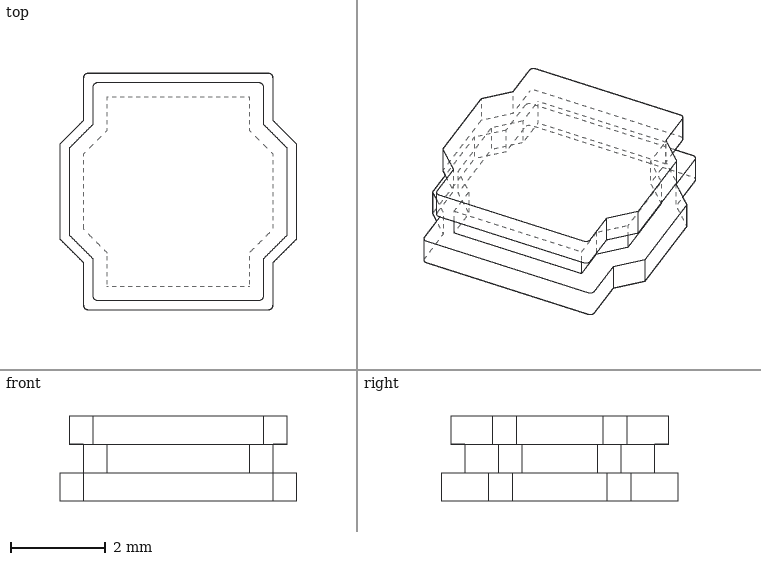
import cadquery as cq
import math

overall_width = 5.0
layer_height = 0.6
shoulder_depth = 0.5
lobe_half_length = 1.0
top_inset = 0.2
core_inset = 0.5
corner_radius = 0.1


def layer(level, inset, radius=0):
    """One layer of the stack: the base outline moved inward by a constant distance."""
    half_width = overall_width / 2 - inset
    body_half = half_width - shoulder_depth
    lobe_half = lobe_half_length - inset * math.tan(math.radians(22.5))
    flank_end = lobe_half + shoulder_depth
    right_side = [
        (body_half, -half_width),
        (body_half, -flank_end),
        (half_width, -lobe_half),
        (half_width, lobe_half),
        (body_half, flank_end),
        (body_half, half_width),
    ]
    left_side = [(-x, -y) for x, y in right_side]
    solid = (
        cq.Workplane("XY")
        .workplane(offset=level * layer_height)
        .polyline(right_side + left_side)
        .close()
        .extrude(layer_height)
    )
    if radius > 0:
        solid = solid.faces("<Y or >Y").edges("|Z").fillet(radius)
    return solid


base_plate = layer(0, 0, corner_radius)
core = layer(1, core_inset)
top_plate = layer(2, top_inset, corner_radius)

result = base_plate.union(core).union(top_plate)